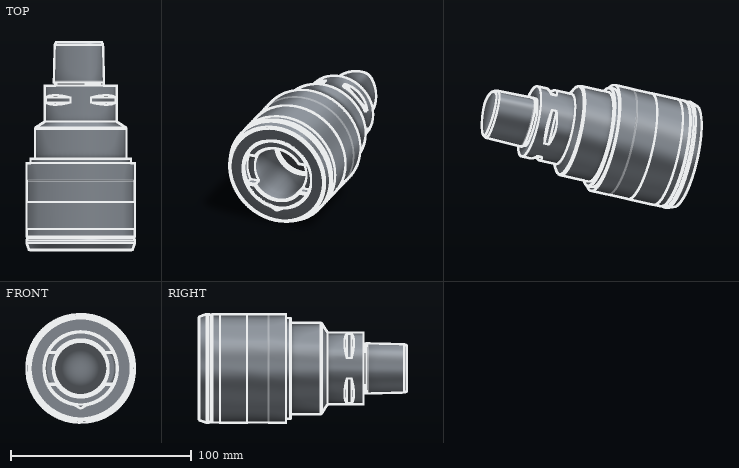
import math

import cadquery as cq


shank_length = 24.0
shank_mean_radius = 13.97
lobe_height = 1.0
lobe_count = 3
taper_per_side = 1 / 40
taper_start_y = 2.6
shank_chamfer_length = 1.5
shank_chamfer_depth = 0.8
neck_radius = 14.1
neck_length = 0.9
relief_length = 1.6
relief_depth = 0.1
profile_points = 72

flange_radius = 20.0
flange_length = 20.0
grip_slot_y = -8.0
grip_slot_floor_distance = 17.6
grip_slot_floor_width = 2.6
grip_slot_side_angle = 30.0
grip_slot_angles = (45, 135, 225, 315)

middle_radius = 25.45
cone_end_radius = 25.0
cone_length = 3.2
cone_edge_length = 0.8
collar_y = -40.4
collar_radius = 28.0
collar_chamfer = 0.3

front_y = -91.5
sleeve_back_y = -43.0
sleeve_radius = 30.15
band_radius = 30.05
rear_band_y = -52.5
rear_bevel_length = 0.6
band_end_y = -64.6
front_band_y = -79.6
front_band_end_y = -83.8
groove_radius = 29.5
groove_start_y = -84.5
nose_y = -85.9
nose_end_y = -87.2
nose_tip_radius = 28.8
nose_tip_y = -91.0
face_radius = 27.75

bore_radius = 15.5
bore_depth = 35.0
bore_chamfer = 0.6
pilot_radius = 14.8
pilot_depth = 2.0
ring_radius = 20.0
ring_gap_radius = 20.6
ring_gap_depth = 1.5
drive_slot_width = 17.0
drive_slot_depth = 5.6
drive_slot_chamfer = 0.7
notch_tip_radius = 22.2
notch_half_width = 4.0
notch_depth = 1.5


def revolve_profile(points):
    """Turn a closed (radius, y) outline around the Y axis."""
    return cq.Workplane("XY").polyline(points).close().revolve(360, (0, 0, 0), (0, 1, 0))


def plane_at(y):
    """Work plane normal to the tool axis, with local axes X and Z, facing -Y."""
    return cq.Workplane("XZ", origin=(0, y, 0))


def polygon_point(angle, radius):
    """Point of the lobed curve whose support function is
    radius - lobe_height * cos(lobe_count * angle)."""
    support = radius - lobe_height * math.cos(lobe_count * angle)
    slope = lobe_count * lobe_height * math.sin(lobe_count * angle)
    x = support * math.cos(angle) - slope * math.sin(angle)
    z = support * math.sin(angle) + slope * math.cos(angle)
    return x, z


def polygon_wire(y, radius):
    """Closed smooth outline of the lobed curve at one level."""
    step = 2 * math.pi / profile_points
    points = [polygon_point(i * step, radius) for i in range(profile_points)]
    return plane_at(y).spline(points, periodic=True).close().val()


def polygon_section(y_low, radius_low, y_high, radius_high):
    """Lobed section with straight sides between two levels."""
    wires = [polygon_wire(y_low, radius_low), polygon_wire(y_high, radius_high)]
    return cq.Workplane(obj=cq.Solid.makeLoft(wires, True))


def make_shank():
    """Polygon shank whose lobes are turned down to a round neck at the flange."""
    chamfer_y = shank_length - shank_chamfer_length
    chamfer_radius = shank_mean_radius - taper_per_side * (chamfer_y - taper_start_y)
    relief_radius = shank_mean_radius - relief_depth
    relief = polygon_section(0, relief_radius, relief_length, relief_radius)
    land = polygon_section(relief_length, shank_mean_radius, taper_start_y, shank_mean_radius)
    cone_top_radius = neck_radius + taper_start_y - neck_length
    neck_limit = revolve_profile([
        (0, 0),
        (neck_radius, 0),
        (neck_radius, neck_length),
        (cone_top_radius, taper_start_y),
        (0, taper_start_y),
    ])
    base = relief.union(land).intersect(neck_limit)
    taper = polygon_section(taper_start_y, shank_mean_radius, chamfer_y, chamfer_radius)
    tip = polygon_section(
        chamfer_y, chamfer_radius, shank_length, chamfer_radius - shank_chamfer_depth
    )
    return base.union(taper).union(tip)


def make_body():
    """Turned outside of the flange, cone, collar and sleeve."""
    cone_end_y = -flange_length - cone_length
    return revolve_profile([
        (0, 0),
        (flange_radius, 0),
        (flange_radius, -flange_length),
        (cone_end_radius, cone_end_y),
        (middle_radius, cone_end_y - cone_edge_length),
        (middle_radius, collar_y),
        (collar_radius - collar_chamfer, collar_y),
        (collar_radius, collar_y - collar_chamfer),
        (collar_radius, sleeve_back_y),
        (sleeve_radius, sleeve_back_y),
        (sleeve_radius, rear_band_y),
        (band_radius, rear_band_y - rear_bevel_length),
        (band_radius, band_end_y),
        (sleeve_radius, band_end_y),
        (sleeve_radius, front_band_y),
        (band_radius, front_band_y),
        (band_radius, front_band_end_y),
        (groove_radius, groove_start_y),
        (sleeve_radius, nose_y),
        (sleeve_radius, nose_end_y),
        (nose_tip_radius, nose_tip_y),
        (face_radius, front_y),
        (0, front_y),
    ])


def make_grip_slot(angle):
    """Trapezoidal slot with a flat floor, cut across the flange at an angle."""
    depth = flange_radius - grip_slot_floor_distance
    half_floor = grip_slot_floor_width / 2
    half_mouth = half_floor + depth * math.tan(math.radians(grip_slot_side_angle))
    slot = (
        cq.Workplane("XY")
        .polyline([
            (grip_slot_floor_distance, grip_slot_y - half_floor),
            (flange_radius, grip_slot_y - half_mouth),
            (flange_radius, grip_slot_y + half_mouth),
            (grip_slot_floor_distance, grip_slot_y + half_floor),
        ])
        .close()
        .extrude(flange_radius, both=True)
    )
    return slot.rotate((0, 0, 0), (0, 1, 0), angle)


def make_bore():
    """Stepped blind bore with a chamfered mouth."""
    return revolve_profile([
        (0, front_y),
        (bore_radius + bore_chamfer, front_y),
        (bore_radius, front_y + bore_chamfer),
        (bore_radius, front_y + bore_depth),
        (pilot_radius, front_y + bore_depth),
        (pilot_radius, front_y + bore_depth + pilot_depth),
        (0, front_y + bore_depth + pilot_depth),
    ])


def make_ring_gap():
    """Narrow annular gap between the driving ring and the sleeve."""
    return plane_at(front_y).circle(ring_gap_radius).circle(ring_radius).extrude(-ring_gap_depth)


def make_drive_slot():
    """Slot across the driving ring along X, with chamfered edges."""
    half_width = drive_slot_width / 2
    half_mouth = half_width + drive_slot_chamfer
    chamfer_y = front_y + drive_slot_chamfer
    floor_y = front_y + drive_slot_depth
    slot = (
        cq.Workplane("YZ")
        .polyline([
            (front_y, -half_mouth),
            (chamfer_y, -half_width),
            (floor_y, -half_width),
            (floor_y, half_width),
            (chamfer_y, half_width),
            (front_y, half_mouth),
        ])
        .close()
        .extrude(ring_radius, both=True)
    )
    ring_limit = plane_at(front_y).circle(ring_radius).extrude(-drive_slot_depth)
    return slot.intersect(ring_limit)


def make_index_notch():
    """V notch at the bottom of the sleeve bore."""
    return (
        plane_at(front_y)
        .polyline([
            (-notch_half_width, -ring_radius),
            (0, -notch_tip_radius),
            (notch_half_width, -ring_radius),
        ])
        .close()
        .extrude(-notch_depth)
        .cut(plane_at(front_y).circle(ring_radius).extrude(-notch_depth))
    )


result = make_body().union(make_shank())
for slot_angle in grip_slot_angles:
    result = result.cut(make_grip_slot(slot_angle))
result = result.cut(make_bore())
result = result.cut(make_ring_gap())
result = result.cut(make_drive_slot())
result = result.cut(make_index_notch())